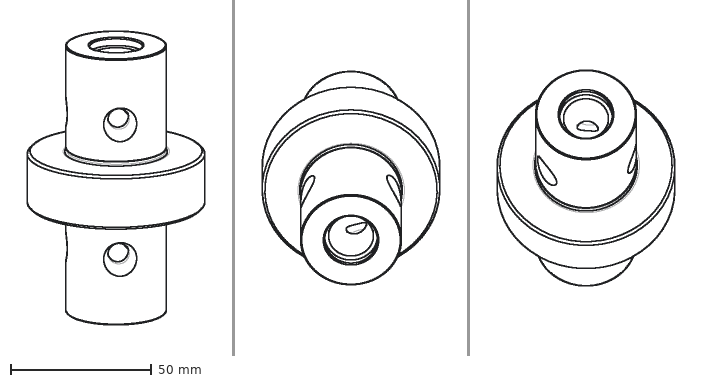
import cadquery as cq
import math

length = 99.0
shaft_radius = 18.0
shaft_chamfer = 0.4
flange_diameter = 63.5
flange_thickness = 20.0
flange_chamfer = 1.0

undercut_width = 1.5
undercut_depth = 0.3
undercut_face_depth = 0.2
undercut_fillet = 0.6
undercut_rim_radius = 19.0

bore_radius = 8.0
recess_radius = 9.4
recess_depth = 3.0
recess_floor_drop = 0.4
recess_chamfer = 0.5

hole_angles = (90, 220, 320)
hole_offset = 25.0
hole_radius = 3.8
cone_start = 10.4
cone_outer_radius = 6.2

mid_height = length / 2
flange_radius = flange_diameter / 2
flange_top = flange_thickness / 2


def make_end_waste():
    """Ring of stock removed above the flange, leaving a sleeve and its undercut."""
    neck_radius = shaft_radius - undercut_depth
    floor = flange_top - undercut_face_depth
    arc_mid = undercut_fillet * (1 - math.sqrt(0.5))
    return (
        cq.Workplane("XZ")
        .moveTo(flange_radius, flange_top - flange_chamfer)
        .lineTo(flange_radius - flange_chamfer, flange_top)
        .lineTo(undercut_rim_radius, flange_top)
        .lineTo(neck_radius + undercut_fillet, floor)
        .threePointArc(
            (neck_radius + arc_mid, floor + arc_mid),
            (neck_radius, floor + undercut_fillet),
        )
        .lineTo(neck_radius, flange_top + undercut_width - undercut_depth)
        .lineTo(shaft_radius, flange_top + undercut_width)
        .lineTo(shaft_radius, mid_height - shaft_chamfer)
        .lineTo(shaft_radius - shaft_chamfer, mid_height)
        .lineTo(flange_radius, mid_height)
        .close()
        .revolve(360, (0, 0, 0), (0, 1, 0))
    )


def make_body():
    """Round bar turned down to a sleeve on each side of the flange."""
    bar = cq.Workplane("XY").circle(flange_radius).extrude(mid_height, both=True)
    waste = make_end_waste()
    return bar.cut(waste).cut(waste.mirror("XY"))


def make_end_recess():
    """Recess at the top of the bore, with a conical floor and an entry chamfer."""
    recess_floor = mid_height - recess_depth
    return (
        cq.Workplane("XZ")
        .moveTo(0, recess_floor - recess_floor_drop)
        .lineTo(bore_radius, recess_floor - recess_floor_drop)
        .lineTo(recess_radius, recess_floor)
        .lineTo(recess_radius, mid_height - recess_chamfer)
        .lineTo(recess_radius + recess_chamfer, mid_height)
        .lineTo(0, mid_height)
        .close()
        .revolve(360, (0, 0, 0), (0, 1, 0))
    )


def make_bore():
    """Through bore with a recess at each end."""
    bore = cq.Workplane("XY").circle(bore_radius).extrude(mid_height, both=True)
    recess = make_end_recess()
    return bore.union(recess).union(recess.mirror("XY"))


def make_radial_hole(angle, height):
    """Short cylinder from the bore, opening into a cone at the sleeve surface."""
    cone_length = shaft_radius - cone_start
    overrun = 1.0
    cone_slope = (cone_outer_radius - hole_radius) / cone_length
    end_radius = cone_outer_radius + cone_slope * overrun
    return (
        cq.Workplane("XY")
        .lineTo(hole_radius, 0)
        .lineTo(hole_radius, cone_start)
        .lineTo(end_radius, shaft_radius + overrun)
        .lineTo(0, shaft_radius + overrun)
        .close()
        .revolve(360, (0, 0, 0), (0, 1, 0))
        .rotate((0, 0, 0), (0, 0, 1), angle - 90)
        .translate((0, 0, height))
    )


result = make_body().cut(make_bore())
for height in (-hole_offset, hole_offset):
    for angle in hole_angles:
        result = result.cut(make_radial_hole(angle, height))